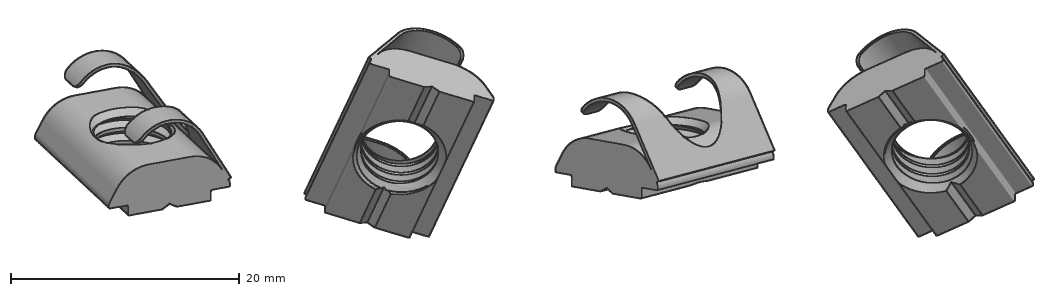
import cadquery as cq
import math

length = 16.0
half_width = 5.8
body_top = 4.58
shoulder_z = 1.0
foot_half_width = 3.97
flat_half_width = 1.98
crown_radius = 3.5
flank_angle = math.radians(60)
side_fillet = 0.8
shoulder_fillet = 0.16
foot_fillet = 0.15
notch_half_width = 0.7
notch_depth = 0.42

spring_thickness = 0.3
spring_top = 8.46
spring_foot_z = 1.73
spring_corner_radius = 0.8
spring_gap_radius = 5.0

bore_radius = 6.78 / 2
thread_depth = 0.6
thread_pitch = 1.25
thread_crest_width = 0.35
thread_start_z = -0.96
thread_turns = 5
thread_overlap = 0.08
bottom_chamfer_radius = 8.18 / 2
top_chamfer_radius = 7.97 / 2

thread_top = body_top - (top_chamfer_radius - bore_radius)

sin_flank = math.sin(flank_angle)
cos_flank = math.cos(flank_angle)

flank_y = flat_half_width + crown_radius * sin_flank
flank_z = body_top - crown_radius * (1 - cos_flank)


def flank_y_at(z):
    """Y of the flank line, extended to height z."""
    return flank_y + (flank_z - z) / math.tan(flank_angle)


def flank_z_at(y):
    """Z of the flank line, extended to position y."""
    return flank_z - (y - flank_y) * math.tan(flank_angle)


def extrude_along_x(section):
    return section.close().extrude(length / 2, both=True)


def edges_along_x_at(solid, y, z):
    """Pick the edges along X that pass through (+-y, z)."""
    return solid.edges(cq.selectors.NearestToPointSelector((0, y, z))).add(
        solid.edges(cq.selectors.NearestToPointSelector((0, -y, z)))
    )


def make_body():
    crown_mid_y = flat_half_width + crown_radius * math.sin(flank_angle / 2)
    crown_mid_z = body_top - crown_radius * (1 - math.cos(flank_angle / 2))
    side_top_z = flank_z_at(half_width)
    section = (
        cq.Workplane("YZ")
        .moveTo(-flat_half_width, body_top)
        .lineTo(flat_half_width, body_top)
        .threePointArc((crown_mid_y, crown_mid_z), (flank_y, flank_z))
        .lineTo(half_width, side_top_z)
        .lineTo(half_width, shoulder_z)
        .lineTo(foot_half_width, shoulder_z)
        .lineTo(foot_half_width, 0)
        .lineTo(notch_half_width, 0)
        .lineTo(0, notch_depth)
        .lineTo(-notch_half_width, 0)
        .lineTo(-foot_half_width, 0)
        .lineTo(-foot_half_width, shoulder_z)
        .lineTo(-half_width, shoulder_z)
        .lineTo(-half_width, side_top_z)
        .lineTo(-flank_y, flank_z)
        .threePointArc((-crown_mid_y, crown_mid_z), (-flat_half_width, body_top))
    )
    body = extrude_along_x(section)
    body = edges_along_x_at(body, half_width, shoulder_z).fillet(shoulder_fillet)
    body = edges_along_x_at(body, half_width, side_top_z).fillet(side_fillet)
    body = edges_along_x_at(body, foot_half_width, shoulder_z).fillet(foot_fillet)
    return edges_along_x_at(body, foot_half_width, 0).fillet(foot_fillet)


def make_spring():
    apex_z = flank_z_at(0)
    inner_radius = (apex_z - spring_top + spring_thickness) * cos_flank / (1 - cos_flank)
    outer_radius = inner_radius + spring_thickness
    center_z = spring_top - outer_radius

    def bend_point(radius, side):
        return (side * radius * sin_flank, center_z + radius * cos_flank)

    foot_y = flank_y_at(spring_foot_z)
    outer_foot = (foot_y + spring_thickness * sin_flank, spring_foot_z + spring_thickness * cos_flank)
    section = (
        cq.Workplane("YZ")
        .moveTo(foot_y, spring_foot_z)
        .lineTo(*outer_foot)
        .lineTo(*bend_point(outer_radius, 1))
        .threePointArc((0, spring_top), bend_point(outer_radius, -1))
        .lineTo(*bend_point(inner_radius, -1))
        .threePointArc((0, center_z + inner_radius), bend_point(inner_radius, 1))
    )
    spring = extrude_along_x(section)

    gap = cq.Workplane("XY").circle(spring_gap_radius).extrude(spring_top)
    gap = gap.union(
        cq.Workplane("XY")
        .rect(2 * spring_gap_radius, half_width)
        .extrude(spring_top)
        .translate((0, -half_width / 2, 0))
    )
    spring = spring.cut(gap)

    tip_y, tip_z = bend_point(outer_radius - spring_thickness / 2, -1)
    corners = cq.Workplane("XY")
    for x in (-length / 2, -spring_gap_radius, spring_gap_radius, length / 2):
        corners.add(spring.edges(cq.selectors.NearestToPointSelector((x, tip_y, tip_z))))
    return spring.newObject(corners.vals()).fillet(spring_corner_radius)


def make_bore():
    """Cutting tool for the bore with a chamfer at each end."""
    bottom_chamfer = bottom_chamfer_radius - bore_radius
    top_chamfer = top_chamfer_radius - bore_radius
    profile = (
        cq.Workplane("XZ")
        .lineTo(bottom_chamfer_radius, 0)
        .lineTo(bore_radius, bottom_chamfer)
        .lineTo(bore_radius, body_top - top_chamfer)
        .lineTo(top_chamfer_radius, body_top)
        .lineTo(0, body_top)
        .close()
    )
    return profile.revolve(360, (0, 0, 0), (0, 1, 0))


def make_thread_groove():
    """Cutting tool for the right-hand V thread that ends below the countersink."""
    base_radius = bore_radius - thread_overlap
    bore_half_opening = (thread_pitch - thread_crest_width) / 2
    base_half_opening = bore_half_opening * (1 + thread_overlap / thread_depth)
    helix = cq.Wire.makeHelix(thread_pitch, thread_turns * thread_pitch, bore_radius)
    groove = (
        cq.Workplane("XZ")
        .moveTo(base_radius, -base_half_opening)
        .lineTo(bore_radius + thread_depth, 0)
        .lineTo(base_radius, base_half_opening)
        .close()
        .sweep(cq.Workplane(helix), isFrenet=True)
        .translate((0, 0, thread_start_z))
    )
    clip = cq.Workplane("XY").rect(length, 2 * half_width).extrude(thread_top)
    return groove.intersect(clip)


result = make_body().cut(make_bore()).cut(make_thread_groove())
result = result.union(make_spring())